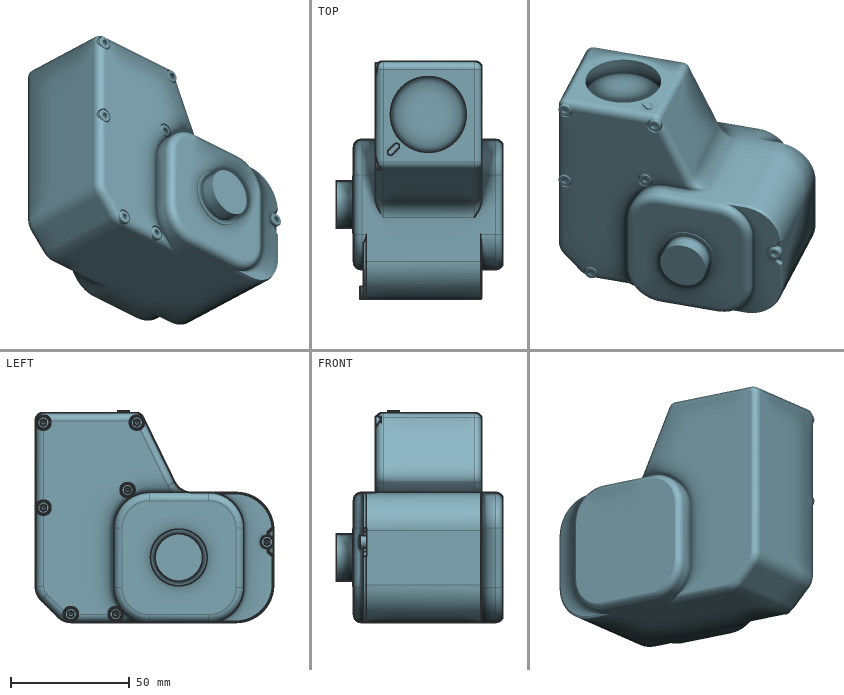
import cadquery as cq
import math


edge_round = 3.4
face_trim = 0.2

case_side = 55.0
case_corner = 15.0
case_left = -31.6
case_right = 31.5

shaft_diameter = 20.0
shaft_end = -39.0
collar_diameter = 24.0
collar_height = 0.4

tower_width = 45.1
tower_left = -22.5
tower_right = tower_left + tower_width
tower_back = 60.7
tower_top = 61.3
tower_front_top = 16.0
slope_angle = 64.0
bend_radius = 8.0
heel_cut = 12.0
tower_inner_end = -10.1

socket_diameter = 32.0
socket_depth = 7.2
socket_y = 38.1
mark_width = 2.4
mark_length = 6.1
mark_height = 0.7
mark_offset = 14.7

nose_front = -40.1
nose_left = -27.5
nose_corner = 16.0
nose_left_bevel = 1.3
nose_right_bevel = 0.9
nose_bevel_inset = 0.5

head_diameter = 5.5
head_corner_bevel = 0.3
recess_diameter = 6.3
recess_depth = 2.5
hex_corners = 2.9
hex_depth = 1.0
hex_point_diameter = 2.4
hex_point_depth = 0.7
hex_point_tip = 0.1
screw_places = [
    (57.2, 57.0),
    (17.7, 57.0),
    (57.2, 21.1),
    (21.7, 28.5),
    (45.6, -24.0),
    (26.7, -24.0),
]
nose_screw = (-37.3, 6.5)
nose_screw_top = 1.5
notch_depth = 1.4
notch_start = -37.4
notch_inner_width = 8.5
notch_outer_width = 13.3
notch_wall_taper = 25.0

half_case = case_side / 2
clear_size = 151.1
shaft_root = 3.0
face_plane = cq.Plane(origin=(0, 0, 0), xDir=(0, 1, 0), normal=(1, 0, 0))


def side_sketch(x):
    """Workplane at the given X, with Y across, Z up and the normal along +X."""
    return cq.Workplane(face_plane).workplane(offset=x)


def trim_right(solid, x):
    """Remove everything beyond the given X."""
    return solid.cut(side_sketch(x).rect(2 * clear_size, 2 * clear_size).extrude(clear_size))


def make_case():
    length = case_right + face_trim - case_left
    case = side_sketch(case_left).rect(case_side, case_side).extrude(length)
    case = case.edges("|X").fillet(case_corner)
    case = case.faces("<X or >X").edges().fillet(edge_round)
    return trim_right(case, case_right)


def make_shaft():
    inner_end = case_left + shaft_root
    collar_face = case_left - collar_height
    collar = side_sketch(collar_face).circle(collar_diameter / 2).extrude(inner_end - collar_face)
    shaft = side_sketch(shaft_end).circle(shaft_diameter / 2).extrude(inner_end - shaft_end)
    return collar.union(shaft)


def make_tower():
    slope = math.radians(slope_angle)
    foot_y = tower_front_top - (tower_top - half_case) / math.tan(slope)
    bend_tangent = bend_radius * math.tan(slope / 2)
    bend_start = (foot_y + bend_tangent * math.cos(slope), half_case + bend_tangent * math.sin(slope))
    bend_mid = (
        foot_y - bend_tangent + bend_radius * math.sin(slope / 2),
        half_case + bend_radius * (1 - math.cos(slope / 2)),
    )
    bend_end = (foot_y - bend_tangent, half_case)
    outline = (
        side_sketch(tower_left)
        .moveTo(tower_back, tower_top)
        .lineTo(tower_front_top, tower_top)
        .lineTo(*bend_start)
        .threePointArc(bend_mid, bend_end)
        .lineTo(tower_inner_end, half_case)
        .lineTo(tower_inner_end, -half_case)
        .lineTo(tower_back - heel_cut, -half_case)
        .lineTo(tower_back, heel_cut - half_case)
        .close()
    )
    tower = outline.extrude(tower_width + face_trim)
    margin = 1.0
    heel_edges = cq.selectors.BoxSelector(
        (-clear_size, tower_back - heel_cut - margin, -half_case - margin),
        (clear_size, tower_back + margin, heel_cut - half_case + margin),
    )
    tower = tower.edges("|X").edges(heel_edges).fillet(bend_radius)
    tower = tower.faces("<X or >X or >Z").edges().fillet(edge_round)
    return trim_right(tower, tower_right)


def make_nose():
    nose = (
        side_sketch(nose_left)
        .center(nose_front / 2, 0)
        .rect(abs(nose_front), case_side)
        .extrude(tower_right - nose_left)
        .edges("|X and <Y")
        .fillet(nose_corner)
    )
    nose = nose.faces("<X").edges("not >Y").chamfer(nose_left_bevel, nose_bevel_inset)
    return nose.faces(">X").edges("not >Y").chamfer(nose_right_bevel, nose_bevel_inset)


def make_screw_head(place, top, height):
    """Screw head facing -X with a hexagon socket."""
    head = side_sketch(top).center(*place).circle(head_diameter / 2).extrude(height)
    head = head.faces("<X").edges().chamfer(head_corner_bevel)
    socket = side_sketch(top).center(*place).transformed(rotate=(0, 0, 90))
    point = (
        side_sketch(top + hex_depth)
        .center(*place)
        .circle(hex_point_diameter / 2)
        .workplane(offset=hex_point_depth)
        .circle(hex_point_tip / 2)
        .loft()
    )
    return head.cut(socket.polygon(6, hex_corners).extrude(hex_depth)).cut(point)


def make_socket():
    return (
        cq.Workplane("XY")
        .workplane(offset=tower_top - socket_depth)
        .center(0, socket_y)
        .circle(socket_diameter / 2)
        .extrude(socket_depth)
    )


def make_mark():
    return (
        cq.Workplane("XY")
        .workplane(offset=tower_top - mark_height)
        .center(-mark_offset, socket_y - mark_offset)
        .slot2D(mark_length, mark_width, 45)
        .extrude(2 * mark_height)
    )


def make_nose_notch():
    """Splayed clearance around the nose screw, open to the front, narrowing towards its floor."""
    splay = (notch_outer_width - notch_inner_width) / (notch_start - nose_front)
    overrun = 2.0
    reach = notch_start - nose_front + overrun
    inner = notch_inner_width / 2
    outer = inner + splay / 2 * reach
    screw_z = nose_screw[1]
    outline = side_sketch(nose_left).polyline([
        (notch_start, screw_z - inner),
        (notch_start, screw_z + inner),
        (notch_start - reach, screw_z + outer),
        (notch_start - reach, screw_z - outer),
    ])
    return outline.close().extrude(notch_depth, taper=notch_wall_taper)


tower = make_tower().cut(make_socket()).union(make_mark())
for place in screw_places:
    recess = side_sketch(tower_left).center(*place).circle(recess_diameter / 2).extrude(recess_depth)
    tower = tower.cut(recess)
    tower = tower.union(make_screw_head(place, tower_left, recess_depth))

nose = make_nose().cut(make_nose_notch())
nose_head_height = nose_screw_top + notch_depth
nose = nose.union(make_screw_head(nose_screw, nose_left - nose_screw_top, nose_head_height))

result = tower.union(nose).union(make_case()).union(make_shaft())